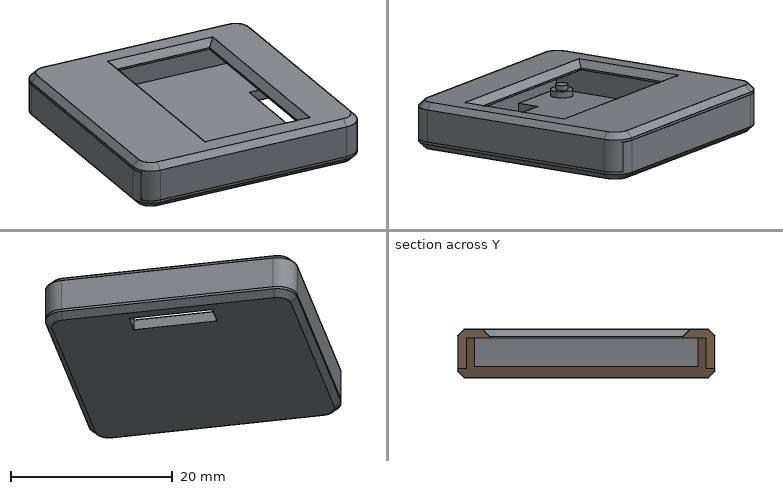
import cadquery as cq

length = 31.8
width = 31.1
height = 6.0
corner_radius = 2.5
edge_chamfer = 0.8

skin = 1.1
floor_top = 1.4
tray_wall = 1.0

window_length = 25.7
window_width = 14.7
window_y = 2.15
window_bevel = 0.9

slot_length = 10.5
slot_front_y = 10.62

post_x = 11.5
post_y = 11.2
shoulder_diameter = 2.8
shoulder_height = 0.75
pin_diameter = 1.6
pin_height = 1.4

front_y = -width / 2
tray_half_length = length / 2 - skin
tray_back_y = width / 2 - skin
tray_top = height - skin
cavity_half_length = tray_half_length - tray_wall
cavity_front_y = front_y + skin
cavity_back_y = tray_back_y - tray_wall


def block(x_min, x_max, y_min, y_max, z_min, z_max):
    """Axis-aligned block between the given limits."""
    size = (x_max - x_min, y_max - y_min, z_max - z_min)
    return cq.Workplane("XY").box(*size, centered=False).translate((x_min, y_min, z_min))


def make_envelope():
    """Solid outer shape shared by the cover and the base."""
    return (
        cq.Workplane("XY")
        .box(length, width, height, centered=(True, True, False))
        .edges("|Z").fillet(corner_radius)
        .faces("<Z or >Z").chamfer(edge_chamfer)
    )


def make_base_zone():
    """Space of the base: a full bottom plate below a tray that reaches the front face."""
    plate = block(-length / 2, length / 2, front_y, width / 2, 0, skin)
    tray = block(-tray_half_length, tray_half_length, front_y, tray_back_y, 0, tray_top)
    return plate.union(tray)


def make_window():
    """Window cutter: a straight opening with a 45 degree bevel at the top."""
    inner_length = window_length - 2 * window_bevel
    inner_width = window_width - 2 * window_bevel
    opening = (
        cq.Workplane("XY", origin=(0, window_y, tray_top))
        .rect(inner_length, inner_width)
        .extrude(skin)
    )
    bevel = (
        cq.Workplane("XY", origin=(0, window_y, height))
        .rect(window_length, window_width)
        .extrude(-window_bevel, taper=45)
    )
    return opening.union(bevel)


def make_post():
    """Pin standing on a wider shoulder."""
    floor = cq.Workplane("XY", origin=(post_x, post_y, floor_top))
    shoulder = floor.circle(shoulder_diameter / 2).extrude(shoulder_height)
    pin = floor.circle(pin_diameter / 2).extrude(pin_height)
    return shoulder.union(pin)


def make_cover():
    """Top frame with the side and rear skins and the display window."""
    return make_envelope().cut(make_base_zone()).cut(make_window())


def make_base():
    """Bottom tray with the front wall, the floor slot and the post."""
    cavity = block(
        -cavity_half_length, cavity_half_length,
        cavity_front_y, cavity_back_y,
        floor_top, tray_top,
    )
    slot = block(
        -slot_length / 2, slot_length / 2,
        slot_front_y, cavity_back_y,
        0, floor_top,
    )
    return make_envelope().intersect(make_base_zone()).cut(cavity).cut(slot).union(make_post())


cover = make_cover()
base = make_base()
result = cq.Compound.makeCompound([cover.solids().val(), base.solids().val()])